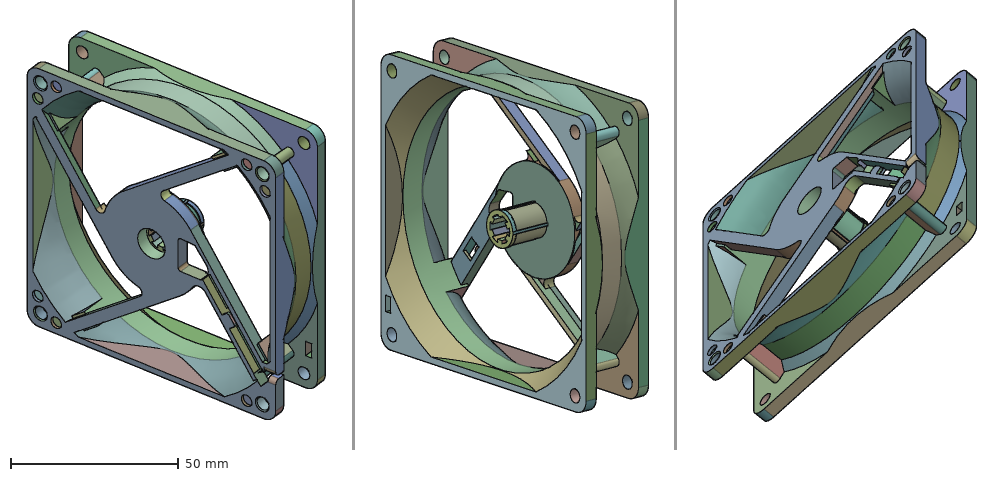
import cadquery as cq
import math

SIDE = 92.5
DEPTH = 25.0
FRONT_Y = -DEPTH / 2
CORNER_RADIUS = 4.4
FLANGE = 4.1
RIM = 2.1
OPENING = SIDE - 2 * RIM

THROAT_RADIUS = 44.0
WALL = 1.9
THROAT_START = 10.5
THROAT_END = 18.1
BELL_CENTRE_RADIUS = 59.2
BELL_CENTRE_DEPTH = 13.6
CONE_SLOPE = 0.88

HOLE_PITCH = 82.5
HOLE_DIAMETER = 4.35
HOLE_CHAMFER = 0.4
DIMPLE_DIAMETER = 3.9
DIMPLE_DEPTH = 1.0
DIMPLE_NEAR = 35.4
DIMPLE_FAR = 42.3

PIN_OFFSET = 35.9
PIN_RADIUS = 1.7

HUB_RADIUS = 18.0
HUB_THICKNESS = 4.5
ARM_TILT = 36.0
ARM_WIDTH = 3.9
ARM_LENGTH = 49.95
CABLE_ARM_WIDTH = 7.4
ARM_BEVEL = 1.85
NOTCH_FILLET = 1.85
CABLE_NOTCH_FILLET = 3.0
GUSSET_LEDGE = 0.8
GUSSET_START = 1.5

BORE_RADIUS = 5.1
SLEEVE_BORE_RADIUS = 4.4
SLEEVE_RADIUS = 5.55
SLEEVE_END = 18.5
COLLAR_RADIUS = 5.9
COLLAR_LENGTH = 1.5
SPLINE_WIDTH = 0.9
TOOTH_WIDTH = 2.0
TOOTH_TIP_RADIUS = 3.3
SHORT_TOOTH_TIP_RADIUS = 4.0

CABLE_ANGLE = ARM_TILT - 90
CHANNEL_INNER = 12.3
CHANNEL_OUTER = 16.3
CHANNEL_DEPTH = 3.0
CHANNEL_START = 14.8
CHANNEL_END = 48.1
WINDOW_FILLET = 0.9
CLIP_SLOT_START = 26.9
CLIP_SLOT_END = 33.3
CLIP_GAP = 0.8
CLIP_REACH = 2.7
CLIP_THICKNESS = 1.0
CLIP_FILLET = 0.8

EXIT_BLOCK_X = 40.2
EXIT_BLOCK_TOP = -26.2
EXIT_BLOCK_CHAMFER = 1.2
SLIT_TOP = -29.6
SLIT_BOTTOM = -30.9
SLIT_X = 41.9
SLIT_UPPER_RADIUS = 1.9
SLIT_LOWER_RADIUS = 1.6
LIP_X = 43.3
REAR_SLOT_BOTTOM = -34.7


def face_plane(depth):
    """Plane parallel to the front face: local x is X, local y is Z."""
    return cq.Workplane("XZ", origin=(0, FRONT_Y + depth, 0))


def slab(sketch, start, end):
    """Extrude an outline drawn on face_plane(start) back to the depth `end`."""
    return sketch.extrude(start - end)


def cylinder(radius, start, end):
    return slab(face_plane(start).circle(radius), start, end)


def box(x_range, z_range, start, end):
    """Axis-aligned block given by its X, Z and depth limits."""
    width = x_range[1] - x_range[0]
    height = z_range[1] - z_range[0]
    centre = (sum(x_range) / 2, sum(z_range) / 2)
    return slab(face_plane(start).center(*centre).rect(width, height), start, end)


def turned(shape, angle):
    """Turn a shape about the fan axis, counter-clockwise as seen from the front."""
    return shape.rotate((0, 0, 0), (0, -1, 0), angle)


def arm_block(along, across, start, end, angle):
    """Block aligned with an arm: `along` its direction and `across` from the fan axis."""
    return turned(box(along, across, start, end), angle)


def passage(offset):
    """Solid of revolution bounded by the duct surface, grown outwards by `offset`."""
    radius = THROAT_RADIUS + offset
    back_radius = radius + CONE_SLOPE * (DEPTH - THROAT_END)
    bell_rise = BELL_CENTRE_DEPTH - THROAT_START
    bell_radius = math.hypot(bell_rise, BELL_CENTRE_RADIUS - radius)

    def bell_point(depth):
        rise = BELL_CENTRE_DEPTH - depth
        return BELL_CENTRE_RADIUS - math.sqrt(bell_radius**2 - rise**2), depth

    mouth_depth = FLANGE / 2 if offset else 0
    middle_depth = (mouth_depth + THROAT_START) / 2
    profile = (
        cq.Workplane("XY", origin=(0, FRONT_Y, 0))
        .moveTo(0, mouth_depth)
        .lineTo(*bell_point(mouth_depth))
        .threePointArc(bell_point(middle_depth), (radius, THROAT_START))
        .lineTo(radius, THROAT_END)
        .lineTo(back_radius, DEPTH)
        .lineTo(0, DEPTH)
        .close()
    )
    return profile.revolve(360, (0, 0, 0), (0, 1, 0))


def square(side, start, end):
    return slab(face_plane(start).rect(side, side), start, end)


def flange(start, end):
    return square(SIDE, start, end).edges("|Y").fillet(CORNER_RADIUS)


def corner_stiffener(angle):
    """Diagonal web from the duct wall to a round pin."""
    reach = PIN_OFFSET * math.sqrt(2)
    web = box((THROAT_RADIUS, reach), (-PIN_RADIUS, PIN_RADIUS), 0, DEPTH)
    pin = slab(face_plane(0).center(reach, 0).circle(PIN_RADIUS), 0, DEPTH)
    return turned(web.union(pin), angle)


air = passage(0).intersect(square(OPENING, 0, DEPTH))

frame = passage(WALL).intersect(square(SIDE, 0, DEPTH))
frame = frame.union(flange(0, FLANGE)).union(flange(DEPTH - FLANGE, DEPTH))
for quarter in range(4):
    frame = frame.union(corner_stiffener(45 + 90 * quarter))
frame = frame.cut(air)

PLAIN_ARMS = [(ARM_TILT + 90 * quarter, ARM_WIDTH) for quarter in range(3)]
ARMS = PLAIN_ARMS + [(CABLE_ANGLE, CABLE_ARM_WIDTH)]


def fillet_notch(spider, angle, width, radius):
    """Round the corner where the inner side of an arm meets the hub rim."""
    across = HUB_RADIUS - width
    along = math.sqrt(HUB_RADIUS**2 - across**2)
    tilt = math.radians(angle)
    x = along * math.cos(tilt) - across * math.sin(tilt)
    z = along * math.sin(tilt) + across * math.cos(tilt)
    corner = cq.selectors.NearestToPointSelector((x, FRONT_Y + FLANGE / 2, z))
    return spider.edges("|Y").edges(corner).fillet(radius)


def arm_bevel(angle, width):
    """Wedge to remove from the rear inner edge of an arm, outside the hub."""
    inner = HUB_RADIUS - width
    bevel = (
        cq.Workplane("YZ")
        .moveTo(FRONT_Y + FLANGE - ARM_BEVEL, inner)
        .lineTo(FRONT_Y + FLANGE, inner)
        .lineTo(FRONT_Y + FLANGE, inner + ARM_BEVEL)
        .close()
        .extrude(ARM_LENGTH)
    )
    return turned(bevel.cut(cylinder(HUB_RADIUS, 0, FLANGE)), angle)


spider = cylinder(HUB_RADIUS, 0, FLANGE)
for angle, width in ARMS:
    spider = spider.union(arm_block((0, ARM_LENGTH), (HUB_RADIUS - width, HUB_RADIUS), 0, FLANGE, angle))
for angle, width in ARMS:
    radius = NOTCH_FILLET if width == ARM_WIDTH else CABLE_NOTCH_FILLET
    spider = fillet_notch(spider, angle, width, radius)
for angle, width in PLAIN_ARMS:
    spider = spider.cut(arm_bevel(angle, width))
spider = spider.union(cylinder(HUB_RADIUS, 0, HUB_THICKNESS))

mouth_ring = air.cut(cylinder(THROAT_RADIUS, 0, DEPTH))
body = frame.union(spider)
for angle, width in ARMS:
    sides = (HUB_RADIUS - width - GUSSET_LEDGE, HUB_RADIUS + GUSSET_LEDGE)
    gusset = arm_block((0, SIDE), sides, GUSSET_START, THROAT_START, angle)
    body = body.union(gusset.intersect(mouth_ring))

sleeve = cylinder(SLEEVE_RADIUS, 0, SLEEVE_END)
sleeve = sleeve.union(cylinder(COLLAR_RADIUS, SLEEVE_END - COLLAR_LENGTH, SLEEVE_END))
for quarter in range(4):
    spline = box((0, COLLAR_RADIUS), (-SPLINE_WIDTH / 2, SPLINE_WIDTH / 2), 0, SLEEVE_END)
    sleeve = sleeve.union(turned(spline, 90 * quarter))
body = body.union(sleeve)
body = body.cut(cylinder(BORE_RADIUS, 0, HUB_THICKNESS))
body = body.cut(cylinder(SLEEVE_BORE_RADIUS, 0, SLEEVE_END))

sleeve_middle = (SLEEVE_BORE_RADIUS + SLEEVE_RADIUS) / 2
for sixth in range(6):
    angle = 30 + 60 * sixth
    tip = SHORT_TOOTH_TIP_RADIUS if angle == 90 else TOOTH_TIP_RADIUS
    tooth = box((tip, sleeve_middle), (-TOOTH_WIDTH / 2, TOOTH_WIDTH / 2), HUB_THICKNESS, SLEEVE_END)
    body = body.union(turned(tooth, angle))

exit_block = (
    face_plane(0)
    .moveTo(EXIT_BLOCK_X, SLIT_BOTTOM)
    .lineTo(EXIT_BLOCK_X, EXIT_BLOCK_TOP)
    .lineTo(OPENING / 2 - EXIT_BLOCK_CHAMFER, EXIT_BLOCK_TOP)
    .lineTo(OPENING / 2, EXIT_BLOCK_TOP + EXIT_BLOCK_CHAMFER)
    .lineTo(OPENING / 2, SLIT_BOTTOM)
    .close()
)
body = body.union(slab(exit_block, 0, FLANGE))

channel = arm_block(
    (CHANNEL_START, CHANNEL_END), (CHANNEL_INNER, CHANNEL_OUTER), 0, CHANNEL_DEPTH, CABLE_ANGLE
)
body = body.cut(channel)

window = (
    face_plane(0)
    .moveTo(10.0, 6.2)
    .lineTo(16.2, 5.7)
    .lineTo(20.5, 0.3)
    .threePointArc((20.9, -3.0), (18.3, -5.7))
    .lineTo(10.0, -5.6)
    .close()
)
body = body.cut(slab(window, 0, HUB_THICKNESS).edges("|Y and <X").fillet(WINDOW_FILLET))

clip_slot = arm_block(
    (CLIP_SLOT_START, CLIP_SLOT_END), (CHANNEL_INNER, CHANNEL_OUTER), 0, FLANGE, CABLE_ANGLE
)
clip = box(
    (CLIP_SLOT_START + CLIP_GAP, CLIP_SLOT_END - CLIP_GAP),
    (CHANNEL_INNER - CLIP_GAP, CHANNEL_INNER + CLIP_REACH),
    0,
    CLIP_THICKNESS,
)
clip = clip.edges("|Y and >Z").fillet(CLIP_FILLET)
body = body.cut(clip_slot).union(turned(clip, CABLE_ANGLE))

pocket = (
    face_plane(0)
    .polyline([(37.9, -31.6), (40.7, -35.1), (LIP_X, -32.4), (LIP_X, SLIT_TOP), (41.4, SLIT_TOP)])
    .close()
)
body = body.cut(slab(pocket, 0, FLANGE))


def slit_rounding(z, radius, side):
    """Region removed to round a front edge of the slit; `side` is the direction into the lip."""
    corner = box((SLIT_X, SIDE / 2), sorted((z, z + side * radius)), 0, radius)
    rod = cq.Workplane("YZ", origin=(SLIT_X, FRONT_Y + radius, z + side * radius))
    return corner.cut(rod.circle(radius).extrude(SIDE / 2 - SLIT_X))


body = body.cut(box((SLIT_X, SIDE / 2), (SLIT_BOTTOM, SLIT_TOP), 0, FLANGE))
body = body.cut(slit_rounding(SLIT_TOP, SLIT_UPPER_RADIUS, 1))
body = body.cut(slit_rounding(SLIT_BOTTOM, SLIT_LOWER_RADIUS, -1))
rear_slot = box((SLIT_X, SIDE / 2 - RIM), (REAR_SLOT_BOTTOM, SLIT_TOP), DEPTH - FLANGE, DEPTH)
body = body.cut(rear_slot)

hole_spots = face_plane(0).rect(HOLE_PITCH, HOLE_PITCH, forConstruction=True).vertices()
body = body.cut(slab(hole_spots.circle(HOLE_DIAMETER / 2), 0, DEPTH))
rim_radius = HOLE_DIAMETER / 2 + HOLE_CHAMFER
for x_side in (-1, 1):
    for z_side in (-1, 1):
        centre = cq.Vector(x_side * HOLE_PITCH / 2, FRONT_Y, z_side * HOLE_PITCH / 2)
        body = body.cut(cq.Solid.makeCone(rim_radius, 0, rim_radius, centre, cq.Vector(0, 1, 0)))

dimples = []
for x_side in (-1, 1):
    for z_side in (-1, 1):
        dimples.append((x_side * DIMPLE_NEAR, z_side * DIMPLE_FAR))
        dimples.append((x_side * DIMPLE_FAR, z_side * DIMPLE_NEAR))
dimples.remove((DIMPLE_FAR, -DIMPLE_NEAR))
body = body.cut(slab(face_plane(0).pushPoints(dimples).circle(DIMPLE_DIAMETER / 2), 0, DIMPLE_DEPTH))

result = body